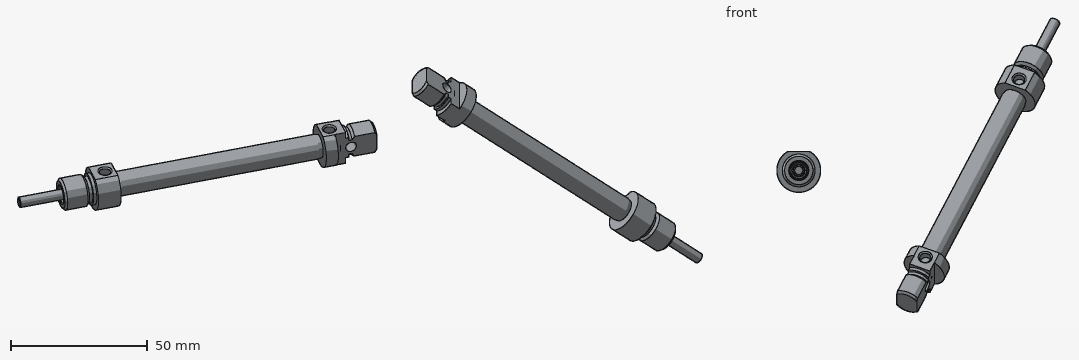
import cadquery as cq

total_length = 136.0
y_tip = -total_length / 2
y_rear = total_length / 2

cap_diameter = 16.0
flat_height = 7.0
thread_diameter = 12.0
groove_diameter = 10.0
thread_chamfer = 0.8
groove_width = 1.2
groove_taper = (thread_diameter - groove_diameter) / 2
collar_length = 1.2
port_diameter = 4.1
port_mouth_diameter = 5.2
port_inset = 3.7

y_nose = y_tip + 16.0
front_nose_length = 10.7
front_body_length = 8.7
y_front_body = y_nose + front_nose_length + collar_length
y_front_face = y_front_body + front_body_length
front_port_y = y_front_face - port_inset
recess_diameter = 6.7
recess_mouth_diameter = 7.3
recess_depth = 1.2
seal_mouth_diameter = 5.8
seal_diameter = 4.8
seal_depth = 2.0

rear_nose_length = 10.7
rear_body_length = 8.7
clevis_width = 8.0
clevis_length = 16.0
cross_hole_diameter = 4.1
cross_hole_inset = 9.9
y_rear_face = y_rear - rear_nose_length - collar_length - rear_body_length
rear_port_y = y_rear_face + port_inset

tube_diameter = 9.2
spigot_diameter = 7.6
spigot_length = 6.8
neck_diameter = 8.5
neck_length = 1.5

rod_diameter = 4.0
rod_tip_diameter = 3.0
rod_tip_length = 0.3


def cylinder_y(diameter, y_start, y_end):
    """Solid cylinder on the Y axis between two positions."""
    start = cq.Plane(origin=(0, y_start, 0), xDir=(1, 0, 0), normal=(0, 1, 0))
    return cq.Workplane(start).circle(diameter / 2).extrude(y_end - y_start)


def revolve_y(profile):
    """Turn a closed (radius, y) profile about the Y axis."""
    return cq.Workplane("XY").polyline(profile).close().revolve(360, (0, 0), (0, 1))


def cap_blank(y_end, direction, nose_length, body_length):
    """Threaded nose, undercut groove, collar and flat-topped cap body.

    The nose starts at y_end and the cap grows along Y in the given direction (+1 or -1).
    """
    thread_radius = thread_diameter / 2
    groove_radius = groove_diameter / 2
    groove_end = nose_length
    groove_start = groove_end - groove_width
    thread_end = groove_start - groove_taper
    body_start = nose_length + collar_length
    body_end = body_start + body_length
    steps = [
        (0, 0),
        (thread_radius - thread_chamfer, 0),
        (thread_radius, thread_chamfer),
        (thread_radius, thread_end),
        (groove_radius, groove_start),
        (groove_radius, groove_end),
        (thread_radius, groove_end),
        (thread_radius, body_start),
        (cap_diameter / 2, body_start),
        (cap_diameter / 2, body_end),
        (0, body_end),
    ]
    blank = revolve_y([(radius, y_end + direction * distance) for radius, distance in steps])
    above_flat = (
        cq.Workplane("XY")
        .workplane(offset=flat_height)
        .rect(2 * cap_diameter, 2 * total_length)
        .extrude(cap_diameter)
    )
    return blank.cut(above_flat)


def port_cutter(y_center):
    """Countersunk air port running from the flat top down to the axis."""
    countersink = (port_mouth_diameter - port_diameter) / 2
    profile = [
        (0, 0),
        (port_diameter / 2, 0),
        (port_diameter / 2, flat_height - countersink),
        (port_mouth_diameter / 2, flat_height),
        (0, flat_height),
    ]
    cutter = cq.Workplane("XZ").polyline(profile).close().revolve(360, (0, 0), (0, 1))
    return cutter.translate((0, y_center, 0))


def make_front_cap():
    """Front cap with a chamfered seal recess, rod bore, tube socket and port."""
    cap = cap_blank(y_nose, 1, front_nose_length, front_body_length)
    recess_chamfer = (recess_mouth_diameter - recess_diameter) / 2
    seal_chamfer = (seal_mouth_diameter - seal_diameter) / 2
    recess = revolve_y([
        (0, y_nose),
        (recess_mouth_diameter / 2, y_nose),
        (recess_diameter / 2, y_nose + recess_chamfer),
        (recess_diameter / 2, y_nose + recess_depth),
        (seal_mouth_diameter / 2, y_nose + recess_depth),
        (seal_diameter / 2, y_nose + recess_depth + seal_chamfer),
        (seal_diameter / 2, y_nose + seal_depth),
        (0, y_nose + seal_depth),
    ])
    rod_bore = cylinder_y(rod_diameter, y_nose, y_front_face)
    socket = cylinder_y(spigot_diameter, y_front_face - spigot_length, y_front_face)
    return cap.cut(recess).cut(rod_bore).cut(socket).cut(port_cutter(front_port_y))


def make_rear_cap():
    """Rear cap with clevis flats, cross hole, tube socket and port."""
    cap = cap_blank(y_rear, -1, rear_nose_length, rear_body_length)
    for side in (-1, 1):
        flat_cut = cq.Workplane("XY").box(cap_diameter, clevis_length, 2 * cap_diameter)
        x_center = side * (clevis_width + cap_diameter) / 2
        cap = cap.cut(flat_cut.translate((x_center, y_rear - clevis_length / 2, 0)))
    cross_hole = (
        cq.Workplane("YZ")
        .center(y_rear - cross_hole_inset, 0)
        .circle(cross_hole_diameter / 2)
        .extrude(cap_diameter, both=True)
    )
    socket = cylinder_y(spigot_diameter, y_rear_face, y_rear_face + spigot_length)
    return cap.cut(cross_hole).cut(socket).cut(port_cutter(rear_port_y))


def make_tube():
    """Tube with tapered necks and a spigot in each cap, closed behind the ports."""
    return revolve_y([
        (0, y_front_face - spigot_length),
        (spigot_diameter / 2, y_front_face - spigot_length),
        (spigot_diameter / 2, y_front_face),
        (neck_diameter / 2, y_front_face),
        (tube_diameter / 2, y_front_face + neck_length),
        (tube_diameter / 2, y_rear_face - neck_length),
        (neck_diameter / 2, y_rear_face),
        (spigot_diameter / 2, y_rear_face),
        (spigot_diameter / 2, y_rear_face + spigot_length),
        (0, y_rear_face + spigot_length),
    ])


def make_rod():
    """Piston rod with a chamfered tip, seated against the tube's front spigot."""
    y_seat = y_front_face - spigot_length
    return revolve_y([
        (0, y_tip),
        (rod_tip_diameter / 2, y_tip),
        (rod_diameter / 2, y_tip + rod_tip_length),
        (rod_diameter / 2, y_seat),
        (0, y_seat),
    ])


front_cap = make_front_cap()
rear_cap = make_rear_cap()
tube = make_tube()
rod = make_rod()

result = cq.Compound.makeCompound([front_cap.val(), rear_cap.val(), tube.val(), rod.val()])